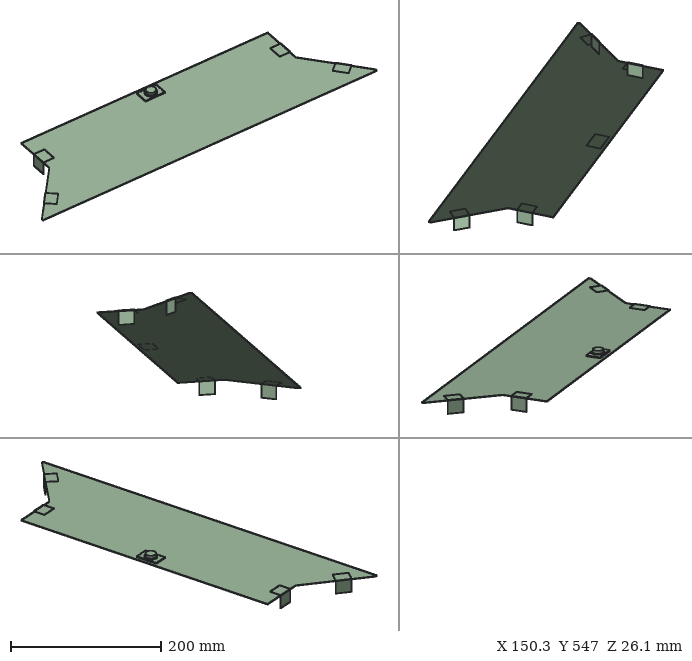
import cadquery as cq
import math

PANEL_WIDTH = 150.3
PANEL_LENGTH = 547.0
NEAR_EDGE_LENGTH = 404.0
SHOULDER_WIDTH = 64.5
WING_TIP_WIDTH = 3.0
PANEL_THICKNESS = 1.0

CLIP_WIDTH = 22.0
CLIP_THICKNESS = 0.5
CLIP_FLANGE_DEPTH = 17.0
CLIP_LEG_DROP = 19.5
SHOULDER_CLIP_X = 40.5
WING_CLIP_POSITION = 65.5

OVERALL_HEIGHT = 26.13
PAD_WIDTH = 20.0
PAD_LENGTH = 32.0
PAD_THICKNESS = 1.5
KNOB_X = 15.0
COLLAR_DIAMETER = 17.5
COLLAR_HEIGHT = 1.0
NECK_DIAMETER = 14.8
NECK_HEIGHT = 2.2
CROWN_DIAMETER = 14.3

HALF_LENGTH = PANEL_LENGTH / 2
HALF_NEAR_EDGE = NEAR_EDGE_LENGTH / 2
WING_RUN = PANEL_WIDTH - WING_TIP_WIDTH - SHOULDER_WIDTH
WING_RISE = HALF_LENGTH - HALF_NEAR_EDGE
WING_ANGLE = math.degrees(math.atan2(WING_RISE, WING_RUN))
KNOB_TOP_Z = OVERALL_HEIGHT - CLIP_LEG_DROP


def make_panel():
    upper_edge = [
        (0, HALF_NEAR_EDGE),
        (SHOULDER_WIDTH, HALF_NEAR_EDGE),
        (PANEL_WIDTH - WING_TIP_WIDTH, HALF_LENGTH),
        (PANEL_WIDTH, HALF_LENGTH),
    ]
    lower_edge = [(x, -y) for x, y in reversed(upper_edge)]
    return cq.Workplane("XY").polyline(upper_edge + lower_edge).close().extrude(-PANEL_THICKNESS)


def make_clip(x, y, angle):
    """Clip for the +Y side, centred at (x, y) on an edge turned by angle from +X."""
    profile = [
        (-CLIP_FLANGE_DEPTH, 0),
        (0, 0),
        (0, -CLIP_LEG_DROP),
        (CLIP_THICKNESS, -CLIP_LEG_DROP),
        (CLIP_THICKNESS, CLIP_THICKNESS),
        (-CLIP_FLANGE_DEPTH, CLIP_THICKNESS),
    ]
    clip = cq.Workplane("YZ").polyline(profile).close().extrude(CLIP_WIDTH / 2, both=True)
    return clip.rotate((0, 0, 0), (0, 0, 1), angle).translate((x, y, 0))


def make_clips():
    wing_angle = math.radians(WING_ANGLE)
    wing_clip_x = SHOULDER_WIDTH + WING_CLIP_POSITION * math.cos(wing_angle)
    wing_clip_y = HALF_NEAR_EDGE + WING_CLIP_POSITION * math.sin(wing_angle)
    clips = []
    placements = [(SHOULDER_CLIP_X, HALF_NEAR_EDGE, 0), (wing_clip_x, wing_clip_y, WING_ANGLE)]
    for x, y, angle in placements:
        clip = make_clip(x, y, angle)
        clips += [clip, clip.mirror("XZ")]
    return clips


def make_pad():
    return cq.Workplane("XY").center(KNOB_X, 0).rect(PAD_WIDTH, PAD_LENGTH).extrude(PAD_THICKNESS)


def make_knob():
    """Round knob standing on the pad: a low collar, a straight neck and a slightly tapered crown."""
    collar_top = PAD_THICKNESS + COLLAR_HEIGHT
    neck_top = collar_top + NECK_HEIGHT
    profile = [
        (0, PAD_THICKNESS),
        (COLLAR_DIAMETER / 2, PAD_THICKNESS),
        (COLLAR_DIAMETER / 2, collar_top),
        (NECK_DIAMETER / 2, collar_top),
        (NECK_DIAMETER / 2, neck_top),
        (CROWN_DIAMETER / 2, KNOB_TOP_Z),
        (0, KNOB_TOP_Z),
    ]
    knob = cq.Workplane("XZ").polyline(profile).close().revolve(360, (0, 0, 0), (0, 1, 0))
    return knob.translate((KNOB_X, 0, 0))


panel = make_panel()
clips = make_clips()
pad = make_pad()
knob = make_knob()

result = cq.Compound.makeCompound([panel.val(), *[clip.val() for clip in clips], pad.val(), knob.val()])